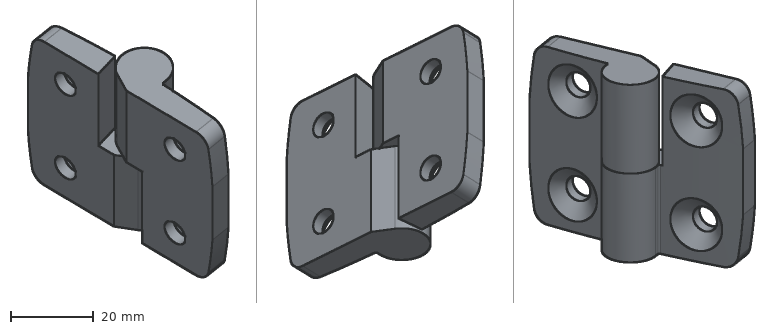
import cadquery as cq
import math

length = 59.0
height = 48.0
depth = 16.0

knuckle_diameter = 14.0
knuckle_radius = knuckle_diameter / 2
knuckle_y = depth - knuckle_radius
flank_foot_x = 1.95
root_fillet = 0.5

crown_height = 7.55
edge_thickness = 6.0
clearance_top_x = 7.95

straight_edge_height = 17.8
corner_x = 27.6
bow = 0.25
corner_radius = 4.0

hole_diameter = 6.6
countersink_diameter = 14.0
hole_spacing_x = 35.0
hole_spacing_z = 28.0
countersink_angle = 90.0

half_length = length / 2
half_height = height / 2
crown_drop = crown_height - edge_thickness
crown_radius = (half_length**2 + crown_drop**2) / (2 * crown_drop)


def crown_y(x):
    """Y of the crowned back face at x."""
    return crown_height - crown_radius + math.sqrt(crown_radius**2 - x**2)


def plate_section(inner_bottom_x, inner_top_x):
    """Plate cross-section in XY, from its inner side to the outer edge."""
    middle_x = (inner_top_x + half_length) / 2
    return (
        cq.Workplane("XY")
        .moveTo(inner_bottom_x, 0)
        .lineTo(half_length, 0)
        .lineTo(half_length, edge_thickness)
        .threePointArc((middle_x, crown_y(middle_x)), (inner_top_x, crown_y(inner_top_x)))
        .close()
    )


def knuckle_half():
    """Upper half: plate and knuckle, with a tangent flank and a straight drop onto the crowned face."""
    foot_distance = math.hypot(flank_foot_x, knuckle_y)
    foot_angle = math.atan2(-knuckle_y, flank_foot_x)
    tangent_angle = foot_angle - math.acos(knuckle_radius / foot_distance)
    tangent_x = knuckle_radius * math.cos(tangent_angle)
    tangent_y = knuckle_y + knuckle_radius * math.sin(tangent_angle)

    plate = plate_section(flank_foot_x, flank_foot_x).extrude(half_height)
    flank = (
        cq.Workplane("XY")
        .polyline([(flank_foot_x, 0), (tangent_x, tangent_y), (0, knuckle_y), (flank_foot_x, knuckle_y)])
        .close()
        .extrude(half_height)
    )
    knuckle = cq.Workplane("XY").center(0, knuckle_y).circle(knuckle_radius).extrude(half_height)
    straight_back = (
        cq.Workplane("XY")
        .moveTo(flank_foot_x, 0)
        .lineTo(knuckle_radius, 0)
        .lineTo(knuckle_radius, knuckle_y)
        .lineTo(flank_foot_x, knuckle_y)
        .close()
        .extrude(half_height)
    )
    body = plate.union(flank).union(knuckle).union(straight_back)

    root = cq.selectors.NearestToPointSelector(
        (knuckle_radius, crown_y(knuckle_radius), half_height / 2)
    )
    return body.edges("|Z").edges(root).fillet(root_fillet)


def clearance_half():
    """Lower half of the leaf, cut back to clear the other leaf's knuckle."""
    return plate_section(knuckle_radius, clearance_top_x).extrude(-half_height)


def leaf_outline():
    """Front outline with bowed outer edge and rounded outer corners."""
    straight_z = straight_edge_height / 2
    bow_x = (half_length + corner_x) / 2 + bow
    bow_z = (straight_z + half_height) / 2
    return (
        cq.Workplane("XZ")
        .moveTo(-half_length, -half_height)
        .lineTo(corner_x, -half_height)
        .threePointArc((bow_x, -bow_z), (half_length, -straight_z))
        .lineTo(half_length, straight_z)
        .threePointArc((bow_x, bow_z), (corner_x, half_height))
        .lineTo(-half_length, half_height)
        .close()
        .extrude(-depth)
        .edges("|Y and (>Z or <Z)")
        .edges(">X")
        .fillet(corner_radius)
    )


def screw_hole(z):
    """Through hole with a conical countersink opening in the back face."""
    x = hole_spacing_x / 2
    hole_radius = hole_diameter / 2
    slope = math.tan(math.radians(countersink_angle / 2))
    rim_radius = countersink_diameter / 2
    rim_y = crown_y(x)
    cone_start_y = rim_y - (rim_radius - hole_radius) / slope
    profile = (
        cq.Workplane("XY")
        .polyline([
            (0, 0),
            (hole_radius, 0),
            (hole_radius, cone_start_y),
            (rim_radius, rim_y),
            (rim_radius + (depth - rim_y) * slope, depth),
            (0, depth),
        ])
        .close()
        .revolve(360, (0, 0, 0), (0, 1, 0))
    )
    return profile.translate((x, 0, z))


def make_leaf():
    """One complete hinge leaf, with its plate on the +X side."""
    leaf = knuckle_half().union(clearance_half()).intersect(leaf_outline())
    for side in (-1, 1):
        leaf = leaf.cut(screw_hole(side * hole_spacing_z / 2))
    return leaf


right_leaf = make_leaf()
left_leaf = right_leaf.rotate((0, 0, 0), (0, 1, 0), 180)

result = cq.Compound.makeCompound([right_leaf.val(), left_leaf.val()])